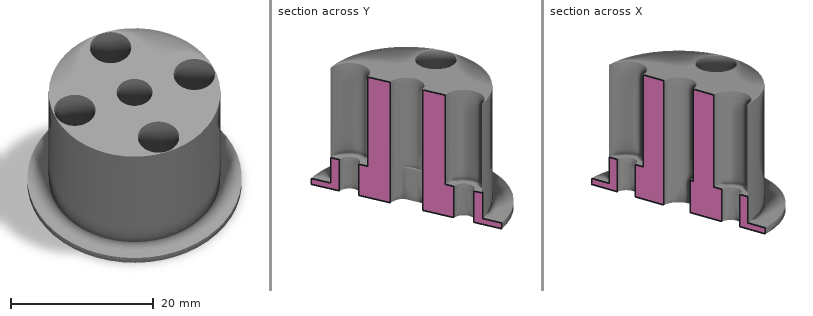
import cadquery as cq

flange_diameter = 30.0
flange_thickness = 1.0
total_height = 19.0
body_diameter = 24.0

screw_count = 4
screw_circle_radius = 9.0
screw_hole_diameter = 3.0
counterbore_diameter = 5.8
counterbore_depth = 14.0
counterbore_floor = total_height - counterbore_depth

bore_diameter = 5.0
flat_offset = 2.0
flat_height = counterbore_floor


def make_body():
    flange = cq.Workplane("XY").circle(flange_diameter / 2).extrude(flange_thickness)
    return flange.union(cq.Workplane("XY").circle(body_diameter / 2).extrude(total_height))


def make_screw_holes():
    centers = cq.Workplane("XY").polarArray(screw_circle_radius, 0, 360, screw_count)
    holes = centers.circle(screw_hole_diameter / 2).extrude(total_height)
    counterbores = (
        cq.Workplane("XY", origin=(0, 0, counterbore_floor))
        .polarArray(screw_circle_radius, 0, 360, screw_count)
        .circle(counterbore_diameter / 2)
        .extrude(counterbore_depth)
    )
    return holes.union(counterbores)


def make_shaft_bore():
    bore = cq.Workplane("XY").circle(bore_diameter / 2).extrude(total_height)
    flat_block = (
        cq.Workplane("XY", origin=(0, flat_offset, 0))
        .rect(bore_diameter, bore_diameter)
        .extrude(flat_height)
        .translate((0, bore_diameter / 2, 0))
    )
    return bore.cut(flat_block)


result = make_body().cut(make_screw_holes()).cut(make_shaft_bore())